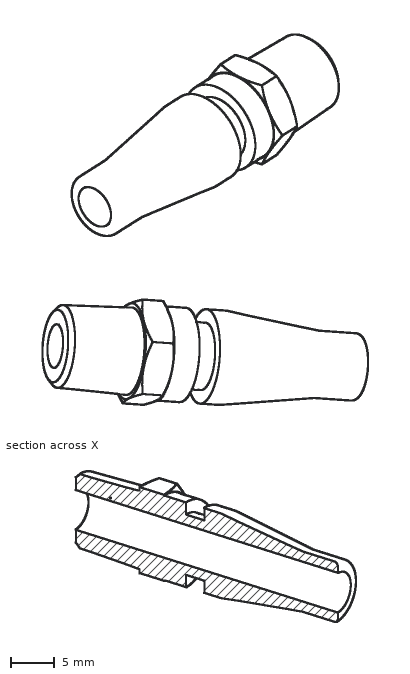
import cadquery as cq
import math

tail_end = 5.0
cone_end = 16.5
front_collar_end = 18.9
groove_end = 21.4
rear_collar_end = 24.5
hex_end = 28.0
total_length = 37.0

bore_diameter = 5.0
tail_diameter = 7.75
collar_diameter = 10.85
tail_fillet = 0.5

gauge_diameter = 9.728
gauge_length = 4.0
thread_taper = 1 / 16
thread_chamfer = 0.6

hex_across_flats = 11.0
hex_across_corners = hex_across_flats / math.cos(math.radians(30))
hex_chamfer_angle = 30.0

gauge_station = total_length - gauge_length
chamfer_station = total_length - thread_chamfer


def thread_radius(station):
    """Radius of the thread envelope at a station along the axis."""
    return (gauge_diameter - thread_taper * (station - gauge_station)) / 2


def revolve_about_axis(profile):
    """Revolve a closed XY profile one full turn about the Y axis."""
    return profile.revolve(360, (0, 0, 0), (0, 1, 0))


def turned_body():
    """Tail, cone and two collars with a groove between them."""
    tail_radius = tail_diameter / 2
    collar_radius = collar_diameter / 2
    profile = (
        cq.Workplane("XY")
        .lineTo(tail_radius - tail_fillet, 0)
        .radiusArc((tail_radius, tail_fillet), -tail_fillet)
        .lineTo(tail_radius, tail_end)
        .lineTo(collar_radius, cone_end)
        .lineTo(collar_radius, front_collar_end)
        .lineTo(tail_radius, front_collar_end)
        .lineTo(tail_radius, groove_end)
        .lineTo(collar_radius, groove_end)
        .lineTo(collar_radius, rear_collar_end)
        .lineTo(0, rear_collar_end)
        .close()
    )
    return revolve_about_axis(profile)


def thread_stub():
    """Tapered stub with a 45 degree end chamfer."""
    end_radius = thread_radius(chamfer_station) - thread_chamfer
    profile = (
        cq.Workplane("XY")
        .moveTo(0, hex_end)
        .lineTo(thread_radius(hex_end), hex_end)
        .lineTo(thread_radius(chamfer_station), chamfer_station)
        .lineTo(end_radius, total_length)
        .lineTo(0, total_length)
        .close()
    )
    return revolve_about_axis(profile)


def hexagon():
    """Hexagonal collar with its corners chamfered on both faces."""
    prism = (
        cq.Workplane("XZ", origin=(0, rear_collar_end, 0))
        .polygon(6, hex_across_corners)
        .extrude(rear_collar_end - hex_end)
    )
    face_radius = hex_across_flats / 2
    corner_radius = hex_across_corners / 2
    slope = math.tan(math.radians(hex_chamfer_angle))
    corner_drop = (corner_radius - face_radius) * slope
    envelope = revolve_about_axis(
        cq.Workplane("XY")
        .moveTo(0, rear_collar_end)
        .lineTo(face_radius, rear_collar_end)
        .lineTo(corner_radius, rear_collar_end + corner_drop)
        .lineTo(corner_radius, hex_end - corner_drop)
        .lineTo(face_radius, hex_end)
        .lineTo(0, hex_end)
        .close()
    )
    return prism.intersect(envelope)


def bore():
    """Straight through bore along the axis."""
    return cq.Workplane("XZ").circle(bore_diameter / 2).extrude(-total_length)


result = turned_body().union(hexagon()).union(thread_stub()).cut(bore())